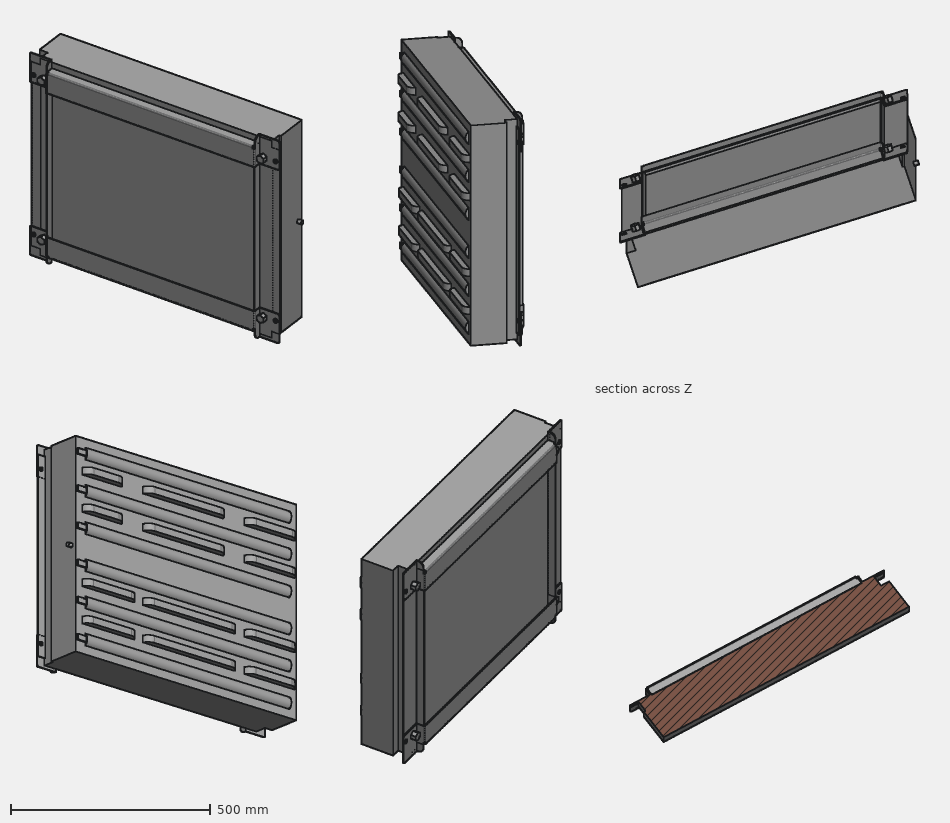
import cadquery as cq
import math

body_height = 581.0
body_left, body_right = -373.0, 361.0
neck_left, neck_right = -349.0, 356.0
body_back = 67.0
body_shoulder = -26.5
body_front = -59.0

sheet = 3.0
left_web, right_web = -316.0, 320.0
angle_left, angle_right = -375.0, 379.0
angle_height = 543.0
angle_web_front = -82.0
angle_web_inset = 1.5

bracket_left, bracket_right = -379.0, 379.0
frame_height = 597.0
bracket_top = frame_height / 2
bracket_bottom = 212.0
bracket_front = body_front - sheet
bracket_web_front = -80.5
bracket_web_radius = 15.0
bracket_corner_radius = 4.5

bar_front = -85.0
bar_outer = 273.0
bar_inner = bracket_bottom
bar_bend_radius = 4.0
bar_relief = 7.0

fastener_z = 235.0
hole_x = 368.0
bracket_hole_diameter = 11.0
angle_hole_diameter = 9.0
bolt_left, bolt_right = -335.0, 331.0
bolt_across_flats = 20.5
bolt_front = -76.5

bead_left, bead_right = -349.5, 329.0
bead_width = 32.5
bead_rise = 8.0
bead_pitch = 100.0
bead_count = 6
bead_tail_right = 356.5
bead_tail_rise = 4.5
bead_tail_width = 15.0

rib_back = 85.0
rib_thickness = 19.0
rib_end_run = 23.5
lower_rib_drop = 1.5
upper_rib_rows = (2 * bead_pitch, bead_pitch)
lower_rib_rows = (-bead_pitch, -2 * bead_pitch)
upper_rib_spans = ((-366.0, -199.5), (-129.0, 137.0), (209.0, 340.0))
lower_rib_spans = ((-366.0, -199.5), (-167.5, 137.0), (167.0, 340.0))

stub_diameter = 11.0
stub_end = 373.0
stub_y = 50.0


def block(x0, x1, y0, y1, z0, z1):
    """Box between pairs of opposite faces."""
    return cq.Workplane("XY").box(x1 - x0, y1 - y0, z1 - z0, centered=False).translate((x0, y0, z0))


def make_body():
    half = body_height / 2
    rear = block(body_left, body_right, body_shoulder, body_back, -half, half)
    neck = block(neck_left, neck_right, body_front, body_shoulder, -half, half)
    return rear.union(neck)


def make_angle(outer, web):
    """Upright angle: a plate against the housing and a web standing forward from it."""
    half = angle_height / 2
    inward = -math.copysign(1, web)
    web_outer = web + inward * angle_web_inset
    web_inner = web_outer + inward * sheet
    plate_x = sorted((outer, web_inner))
    web_x = sorted((web_outer, web_inner))
    plate = block(*plate_x, body_front, body_front + sheet, -half, half)
    return plate.union(block(*web_x, angle_web_front, body_front, -half, half))


def make_bracket(outer, web):
    """Upper corner bracket: a plate with rounded outer corners and a web along its inner edge."""
    inward = -math.copysign(1, web)
    web_inner = web + inward * sheet
    plate = block(*sorted((outer, web_inner)), bracket_front, body_front, bracket_bottom, bracket_top)
    plate = plate.edges("|Y").edges("<X" if outer < 0 else ">X").fillet(bracket_corner_radius)
    web_x = sorted((web, web_inner))
    flange = block(*web_x, bracket_web_front, bracket_front, bracket_bottom, bracket_top)
    flange = flange.edges("|X and >Z and <Y").fillet(bracket_web_radius)
    return plate.union(flange)


def make_bar():
    """Upper cross bar: a bent sheet, open at the back and along its inner edge, with relieved corners."""
    bar = block(left_web, right_web, bar_front, body_front, bar_inner, bar_outer)
    bar = bar.edges("<Y and (|Z or >Z)").fillet(bar_bend_radius)
    inside = block(
        left_web + sheet, right_web - sheet, bar_front + sheet, body_front, bar_inner, bar_outer - sheet
    )
    bar = bar.cut(inside.edges("<Y and (|Z or >Z)").fillet(bar_bend_radius - sheet))
    relief_y = (bar_front, bar_front + bar_relief)
    relief_z = (bar_outer - bar_relief, bar_outer)
    for corner in (left_web, right_web - bar_relief):
        bar = bar.cut(block(corner, corner + bar_relief, *relief_y, *relief_z))
    return bar


def make_bolt(x):
    """Hexagonal bolt head with corners pointing up and down."""
    across_corners = bolt_across_flats / math.cos(math.pi / 6)
    head = cq.Workplane("XZ").polygon(6, across_corners).extrude(bracket_front - bolt_front)
    return head.rotate((0, 0, 0), (0, 1, 0), 90).translate((x, bracket_front, fastener_z))


def make_bead(z):
    """Shallow arched bead along X with a short flat tail at its right end."""
    bead = (
        cq.Workplane("YZ", origin=(bead_left, body_back, z))
        .moveTo(0, -bead_width / 2)
        .threePointArc((bead_rise, 0), (0, bead_width / 2))
        .close()
        .extrude(bead_right - bead_left)
    )
    half = bead_tail_width / 2
    tail = block(bead_right, bead_tail_right, body_back, body_back + bead_tail_rise, z - half, z + half)
    return bead.union(tail)


def make_rib(x0, x1, z, top):
    """Flat rib whose ends are arcs tangent to its back face."""
    rise = top - body_back
    radius = (rib_end_run**2 + rise**2) / (2 * rise)
    half_angle = math.asin(rib_end_run / radius) / 2
    mid_run = rib_end_run - radius * math.sin(half_angle)
    mid_y = top - radius * (1 - math.cos(half_angle))
    return (
        cq.Workplane("XY", origin=(0, 0, z - rib_thickness / 2))
        .moveTo(x0, body_back)
        .threePointArc((x0 + mid_run, mid_y), (x0 + rib_end_run, top))
        .lineTo(x1 - rib_end_run, top)
        .threePointArc((x1 - mid_run, mid_y), (x1, body_back))
        .close()
        .extrude(rib_thickness)
    )


def make_stub():
    stub = cq.Workplane("YZ", origin=(body_right, stub_y, 0)).circle(stub_diameter / 2)
    return stub.extrude(stub_end - body_right)


def hole_cutter(x, y0, y1, diameter):
    """Cylinder along Y that makes a fixing hole in an upper bracket."""
    return cq.Workplane("XZ", origin=(x, y1, fastener_z)).circle(diameter / 2).extrude(y1 - y0)


def both_ends(part):
    """The part together with its mirror image below the middle."""
    return part.union(part.mirror("XY"))


result = make_body()

for angle_outer, web in ((angle_left, left_web), (angle_right, right_web)):
    result = result.union(make_angle(angle_outer, web))

for bracket_outer, web, bolt_x in (
    (bracket_left, left_web, bolt_left),
    (bracket_right, right_web, bolt_right),
):
    result = result.union(both_ends(make_bracket(bracket_outer, web)))
    result = result.union(both_ends(make_bolt(bolt_x)))

result = result.union(both_ends(make_bar()))

for x in (-hole_x, hole_x):
    bracket_hole = hole_cutter(x, bracket_front, body_front, bracket_hole_diameter)
    angle_hole = hole_cutter(x, body_front, body_front + sheet, angle_hole_diameter)
    result = result.cut(both_ends(bracket_hole)).cut(both_ends(angle_hole))

for row in range(bead_count):
    result = result.union(make_bead((row - (bead_count - 1) / 2) * bead_pitch))

for rows, spans, top in (
    (upper_rib_rows, upper_rib_spans, rib_back),
    (lower_rib_rows, lower_rib_spans, rib_back - lower_rib_drop),
):
    for z in rows:
        for x0, x1 in spans:
            result = result.union(make_rib(x0, x1, z, top))

result = result.union(make_stub())